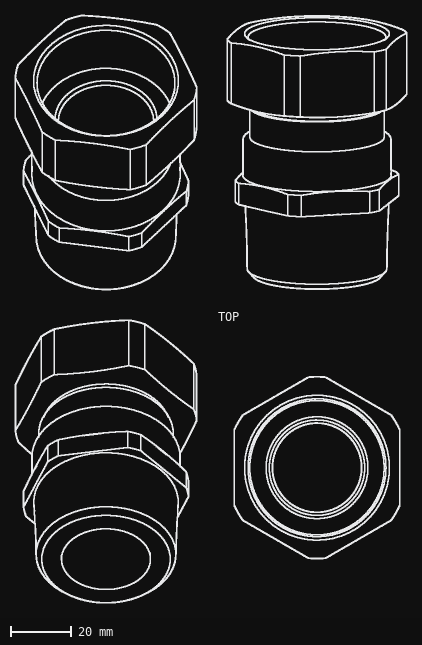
import cadquery as cq
import math

TOTAL_HEIGHT = 82.25
CHAMFER_SLOPE = math.tan(math.radians(15))
THREAD_SLOPE = 1 / 32

UPPER_HEX_FLATS = 55.0
UPPER_HEX_CORNER_RADIUS = 30.3
UPPER_HEX_FACE_RADIUS = 27.1
UPPER_HEX_BOTTOM = 59.8
NECK_RADIUS = 21.3
NECK_BOTTOM = 57.25
SPIGOT_RADIUS = 22.4
SOCKET_MOUTH_RADIUS = 24.1
SOCKET_TOP_RADIUS = 22.95
SOCKET_DEPTH = 20.1
UPPER_BORE_RADIUS = 15.9
BORE_CHAMFER = 1.1

COLLAR_RADIUS = 24.7
COLLAR_TOP = 47.05
COLLAR_FILLET = 1.0
LOWER_HEX_FLATS = 49.85
LOWER_HEX_CORNER_RADIUS = 27.55
LOWER_HEX_FACE_RADIUS = 24.7
LOWER_HEX_TOP = 34.05
LOWER_HEX_BOTTOM = 26.0
MALE_TOP_RADIUS = 24.0
MALE_CHAMFER_HEIGHT = 2.1
MALE_END_RADIUS = 21.4
LOWER_BORE_RADIUS = 14.8

SPIGOT_BOTTOM = LOWER_HEX_TOP


def cylinder(radius, bottom, top):
    return cq.Workplane("XY").workplane(offset=bottom).circle(radius).extrude(top - bottom)


def revolve_profile(points):
    """Revolve a closed (radius, height) outline about the Z axis."""
    return cq.Workplane("XZ").polyline(points).close().revolve(360, (0, 0, 0), (0, 1, 0))


def hexagon(flats, corner_radius, face_radius, bottom, top, chamfer_bottom):
    """Hexagon with flats facing +X and -X, rounded corners and conical end chamfers."""
    drop = (corner_radius - face_radius) * CHAMFER_SLOPE
    envelope_points = [(0, top), (face_radius, top), (corner_radius, top - drop)]
    if chamfer_bottom:
        envelope_points += [(corner_radius, bottom + drop), (face_radius, bottom)]
    else:
        envelope_points.append((corner_radius, bottom))
    envelope_points.append((0, bottom))
    prism = (
        cq.Workplane("XY")
        .workplane(offset=bottom)
        .polygon(6, flats / math.cos(math.pi / 6))
        .extrude(top - bottom)
        .rotate((0, 0, 0), (0, 0, 1), 30)
    )
    return prism.intersect(revolve_profile(envelope_points))


def female_socket():
    """Tapered socket with a chamfered mouth, leading through a chamfer into the bore."""
    floor = TOTAL_HEIGHT - SOCKET_DEPTH
    mouth_bottom = TOTAL_HEIGHT - (SOCKET_MOUTH_RADIUS - SOCKET_TOP_RADIUS)
    floor_radius = SOCKET_TOP_RADIUS - (mouth_bottom - floor) * THREAD_SLOPE
    return revolve_profile([
        (0, TOTAL_HEIGHT),
        (SOCKET_MOUTH_RADIUS, TOTAL_HEIGHT),
        (SOCKET_TOP_RADIUS, mouth_bottom),
        (floor_radius, floor),
        (UPPER_BORE_RADIUS + BORE_CHAMFER, floor),
        (UPPER_BORE_RADIUS, floor - BORE_CHAMFER),
        (UPPER_BORE_RADIUS, SPIGOT_BOTTOM),
        (0, SPIGOT_BOTTOM),
    ])


def male_end():
    """Tapered male thread envelope with a chamfered lower end."""
    chamfer_radius = MALE_TOP_RADIUS - (LOWER_HEX_BOTTOM - MALE_CHAMFER_HEIGHT) * THREAD_SLOPE
    return revolve_profile([
        (0, 0),
        (MALE_END_RADIUS, 0),
        (chamfer_radius, MALE_CHAMFER_HEIGHT),
        (MALE_TOP_RADIUS, LOWER_HEX_BOTTOM),
        (0, LOWER_HEX_BOTTOM),
    ])


def make_upper_adapter():
    adapter = hexagon(
        UPPER_HEX_FLATS, UPPER_HEX_CORNER_RADIUS, UPPER_HEX_FACE_RADIUS,
        UPPER_HEX_BOTTOM, TOTAL_HEIGHT, chamfer_bottom=True,
    )
    adapter = adapter.union(cylinder(NECK_RADIUS, NECK_BOTTOM, UPPER_HEX_BOTTOM))
    adapter = adapter.union(cylinder(SPIGOT_RADIUS, SPIGOT_BOTTOM, NECK_BOTTOM))
    return adapter.cut(female_socket())


def make_lower_body():
    collar = cylinder(COLLAR_RADIUS, LOWER_HEX_TOP, COLLAR_TOP).faces(">Z").edges().fillet(COLLAR_FILLET)
    hex_flange = hexagon(
        LOWER_HEX_FLATS, LOWER_HEX_CORNER_RADIUS, LOWER_HEX_FACE_RADIUS,
        LOWER_HEX_BOTTOM, LOWER_HEX_TOP, chamfer_bottom=False,
    )
    body = male_end().union(hex_flange).union(collar)
    body = body.cut(cylinder(LOWER_BORE_RADIUS, 0, COLLAR_TOP))
    return body.cut(cylinder(SPIGOT_RADIUS, SPIGOT_BOTTOM, COLLAR_TOP))


upper_adapter = make_upper_adapter()
lower_body = make_lower_body()
result = cq.Compound.makeCompound([upper_adapter.val(), lower_body.val()])